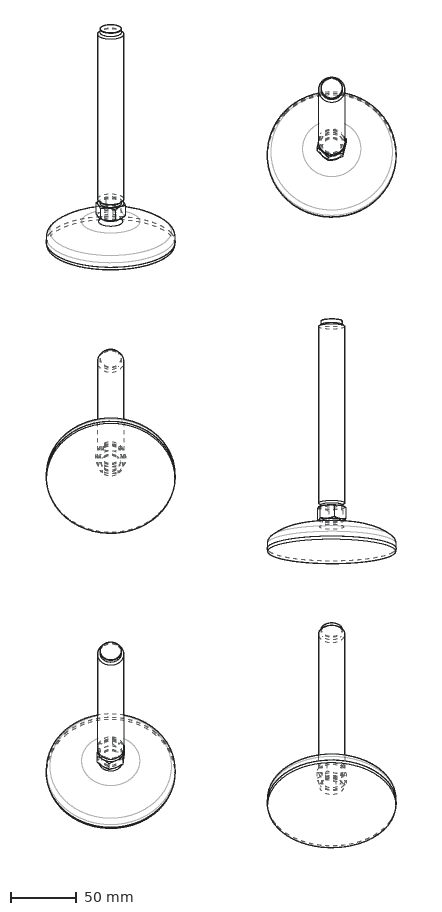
import cadquery as cq
import math

total_height = 179.2

foot_diameter = 98.5
foot_bottom_diameter = 97.7
wall_diameter = 98.2
shoulder_diameter = 92.6
crown_diameter = 44.5
rim_height = 2.3
wall_top_height = 6.1
shoulder_height = 11.0
crown_height = 19.2

ball_diameter = 20.0
neck_diameter = 14.3
neck_bottom = 22.2

nut_across_flats = 20.0
nut_across_corners = nut_across_flats / math.cos(math.radians(30))
nut_bottom = 24.2
nut_top = 34.4
nut_chamfer_angle = math.radians(30)

rod_diameter = 20.0
core_diameter = 16.5
rod_bottom = 36.2
rod_chamfer_height = 1.5
tip_length = 3.0
tip_chamfer = 0.4


def make_foot():
    """Domed foot plate with a slightly flared rim, turned about Z."""
    crown_radius = crown_diameter / 2
    shoulder_radius = shoulder_diameter / 2
    wall_radius = wall_diameter / 2
    dome_run = shoulder_radius - crown_radius
    dome_drop = crown_height - shoulder_height
    dome_radius = (dome_run**2 + dome_drop**2) / (2 * dome_drop)
    half_sweep = math.asin(dome_run / dome_radius) / 2
    dome_middle = (
        crown_radius + dome_radius * math.sin(half_sweep),
        crown_height - dome_radius * (1 - math.cos(half_sweep)),
    )
    return (
        cq.Workplane("XZ")
        .lineTo(foot_bottom_diameter / 2, 0)
        .lineTo(foot_diameter / 2, rim_height)
        .lineTo(wall_radius, rim_height)
        .lineTo(wall_radius, wall_top_height)
        .tangentArcPoint((shoulder_radius, shoulder_height), relative=False)
        .threePointArc(dome_middle, (crown_radius, crown_height))
        .lineTo(0, crown_height)
        .close()
        .revolve(360, (0, 0, 0), (0, 1, 0))
    )


def make_stem():
    """Upper half of the ball, neck, core and threaded rod on one axis, turned about Z."""
    neck_radius = neck_diameter / 2
    core_radius = core_diameter / 2
    rod_radius = rod_diameter / 2
    ball_radius = ball_diameter / 2
    ball_center = neck_bottom - math.sqrt(ball_radius**2 - neck_radius**2)
    return (
        cq.Workplane("XZ")
        .moveTo(0, ball_center)
        .lineTo(ball_radius, ball_center)
        .radiusArc((neck_radius, neck_bottom), -ball_radius)
        .lineTo(neck_radius, nut_top)
        .lineTo(core_radius, nut_top)
        .lineTo(core_radius, rod_bottom)
        .lineTo(rod_radius, rod_bottom + rod_chamfer_height)
        .lineTo(rod_radius, total_height - tip_length - rod_chamfer_height)
        .lineTo(core_radius, total_height - tip_length)
        .lineTo(core_radius, total_height - tip_chamfer)
        .lineTo(core_radius - tip_chamfer, total_height)
        .lineTo(0, total_height)
        .close()
        .revolve(360, (0, 0, 0), (0, 1, 0))
    )


def make_nut():
    """Hexagonal nut with conical chamfers on the corners of both faces."""
    flat_radius = nut_across_flats / 2
    corner_radius = nut_across_corners / 2
    drop = (corner_radius - flat_radius) * math.tan(nut_chamfer_angle)
    prism = (
        cq.Workplane("XY")
        .workplane(offset=nut_bottom)
        .polygon(6, nut_across_corners)
        .extrude(nut_top - nut_bottom)
        .rotate((0, 0, 0), (0, 0, 1), 90)
    )
    envelope = (
        cq.Workplane("XZ")
        .moveTo(0, nut_bottom)
        .lineTo(flat_radius, nut_bottom)
        .lineTo(corner_radius, nut_bottom + drop)
        .lineTo(corner_radius, nut_top - drop)
        .lineTo(flat_radius, nut_top)
        .lineTo(0, nut_top)
        .close()
        .revolve(360, (0, 0, 0), (0, 1, 0))
    )
    return prism.intersect(envelope)


result = make_foot().union(make_stem()).union(make_nut())